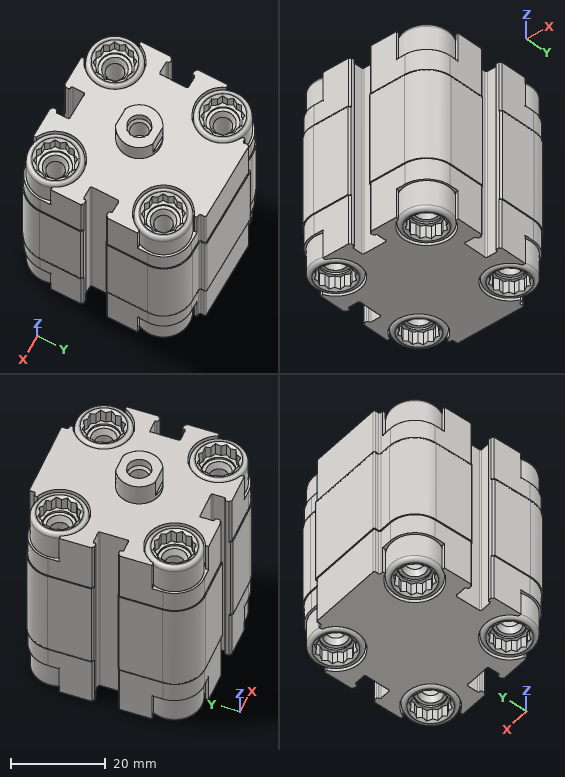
import cadquery as cq
import math

total_height = 55.0
rod_projection = 5.5
cap_height = 13.0
barrel_width = 40.0
barrel_depth = 41.5
cap_inset = 0.25

screw_spacing = 26.0
rail_half_width = 9.8
rail_fillet = 0.4

slot_mouth_width = 5.4
slot_inner_width = 6.9
slot_depth = 5.0
slot_lip = 1.75
slot_fillet = 0.35
lip_round = 0.45

boss_diameter = 12.5
boss_height = 7.5
boss_fillet = 1.0
boss_gap = 0.3
recess_wall_offset = 10.5

socket_mouth_diameter = 10.0
socket_across_flats = 8.0
hexagon_sides = 6
lead_in_angle = 30.0
socket_depth = 3.5
well_diameter = 7.2
well_depth = 4.0
hole_mouth_diameter = 5.6
hole_cone_depth = 1.5
core_diameter = 4.1

rod_diameter = 10.0
rod_flat_spacing = 9.0
rod_flat_height = 4.3
rod_bore_diameter = 5.3
rod_bore_depth = 2.0
rod_drill_depth = 9.0
drill_point_angle = 118.0

body_height = total_height - rod_projection
barrel_height = body_height - 2 * cap_height
half_width = barrel_width / 2
rail_face = barrel_depth - half_width
screw_offset = screw_spacing / 2
corner_radius = half_width - screw_offset
half_hexagon_turn = 180 / hexagon_sides
socket_circle = socket_across_flats / math.cos(math.pi / hexagon_sides)
lead_in_width = (socket_mouth_diameter - socket_across_flats) / 2
lead_in_depth = lead_in_width * math.tan(math.radians(lead_in_angle))
rod_cone_depth = (rod_bore_diameter - core_diameter) / 2
drill_point = core_diameter / 2 / math.tan(math.radians(drill_point_angle / 2))
rod_seat_depth = cap_height
rod_length = rod_projection + rod_seat_depth


def profile_slab(inset, bottom, height):
    """Rounded square with a rail on its back face, set in evenly all round."""
    half = half_width - inset
    square = (
        cq.Workplane("XY", origin=(0, 0, bottom))
        .rect(2 * half, 2 * half)
        .extrude(height)
        .edges("|Z")
        .fillet(corner_radius - inset)
    )
    rail_half = rail_half_width - inset
    rail_top = rail_face - inset
    rail = (
        cq.Workplane("XY", origin=(0, 0, bottom))
        .moveTo(-rail_half - rail_fillet, half)
        .radiusArc((-rail_half, half + rail_fillet), -rail_fillet)
        .lineTo(-rail_half, rail_top - rail_fillet)
        .radiusArc((-rail_half + rail_fillet, rail_top), rail_fillet)
        .lineTo(rail_half - rail_fillet, rail_top)
        .radiusArc((rail_half, rail_top - rail_fillet), rail_fillet)
        .lineTo(rail_half, half + rail_fillet)
        .radiusArc((rail_half + rail_fillet, half), -rail_fillet)
        .lineTo(rail_half + rail_fillet, 0)
        .lineTo(-rail_half - rail_fillet, 0)
        .close()
        .extrude(height)
    )
    slab = square.union(rail)
    for slot in sensor_slots(half, bottom, height):
        slab = slab.cut(slot)
    return slab


def sensor_slots(face, bottom, height):
    """T-slots in the -X, -Y and +X faces, with rounded lips ending at the given face."""
    mouth_half = slot_mouth_width / 2
    inner_half = slot_inner_width / 2
    floor = half_width - slot_depth
    lip_inside = half_width - slot_lip
    slot = (
        cq.Workplane("XY", origin=(0, 0, bottom))
        .moveTo(face, mouth_half + lip_round)
        .radiusArc((face - lip_round, mouth_half), -lip_round)
        .lineTo(lip_inside, mouth_half)
        .lineTo(lip_inside, inner_half)
        .lineTo(floor, inner_half)
        .lineTo(floor, -inner_half)
        .lineTo(lip_inside, -inner_half)
        .lineTo(lip_inside, -mouth_half)
        .lineTo(face - lip_round, -mouth_half)
        .radiusArc((face, -mouth_half - lip_round), -lip_round)
        .close()
        .extrude(height)
        .edges("|Z")
        .filter(lambda edge: edge.Center().x < face - 2 * lip_round)
        .fillet(slot_fillet)
    )
    return [slot.rotate((0, 0, 0), (0, 0, 1), angle) for angle in (0, 180, 270)]


def corner_recess(x_side, y_side):
    """Space cut into the top of one cap corner, around the screw boss."""
    x = x_side * screw_offset
    y = y_side * screw_offset
    bottom = body_height - boss_height
    round_part = (
        cq.Workplane("XY", origin=(x, y, bottom))
        .circle(boss_diameter / 2 + boss_gap)
        .extrude(boss_height)
    )
    block_side = half_width - recess_wall_offset
    block_centre = recess_wall_offset + block_side / 2
    block = (
        cq.Workplane("XY", origin=(x_side * block_centre, y_side * block_centre, bottom))
        .rect(block_side, block_side)
        .extrude(boss_height)
    )
    return round_part.union(block)


def screw_boss(x, y):
    """Round boss with a rounded top rim."""
    return (
        cq.Workplane("XY", origin=(x, y, body_height - boss_height))
        .circle(boss_diameter / 2)
        .extrude(boss_height)
        .faces(">Z")
        .edges()
        .fillet(boss_fillet)
    )


def screw_socket(x, y):
    """Twelve-point socket with a conical lead-in, a round well and the hole below it."""
    bore = (
        cq.Workplane("XZ")
        .moveTo(0, 0)
        .lineTo(socket_mouth_diameter / 2, 0)
        .lineTo(socket_across_flats / 2, -lead_in_depth)
        .lineTo(well_diameter / 2, -lead_in_depth)
        .lineTo(well_diameter / 2, -well_depth)
        .lineTo(hole_mouth_diameter / 2, -well_depth)
        .lineTo(core_diameter / 2, -well_depth - hole_cone_depth)
        .lineTo(core_diameter / 2, -body_height / 2)
        .lineTo(0, -body_height / 2)
        .close()
        .revolve(360, (0, 0, 0), (0, 1, 0))
    )
    hexagon = cq.Workplane("XY").polygon(hexagon_sides, socket_circle).extrude(-socket_depth)
    turned_hexagon = hexagon.rotate((0, 0, 0), (0, 0, 1), half_hexagon_turn)
    return bore.union(hexagon).union(turned_hexagon).translate((x, y, body_height))


def make_housing():
    """Barrel between two mirrored caps, with the rod seat in the top cap."""
    body = profile_slab(cap_inset, 0, body_height)
    body = body.union(profile_slab(0, cap_height, barrel_height))
    middle = (0, 0, body_height / 2)
    for x_side in (-1, 1):
        for y_side in (-1, 1):
            x = x_side * screw_offset
            y = y_side * screw_offset
            recess = corner_recess(x_side, y_side)
            boss = screw_boss(x, y)
            socket = screw_socket(x, y)
            body = body.cut(recess).cut(recess.mirror("XY", middle))
            body = body.union(boss).union(boss.mirror("XY", middle))
            body = body.cut(socket).cut(socket.mirror("XY", middle))
    rod_seat = (
        cq.Workplane("XY", origin=(0, 0, body_height))
        .circle(rod_diameter / 2)
        .extrude(-rod_seat_depth)
    )
    return body.cut(rod_seat)


def make_rod():
    """Piston rod with two wrench flats and a stepped, drill-pointed hole in its end."""
    rod = (
        cq.Workplane("XY", origin=(0, 0, total_height))
        .circle(rod_diameter / 2)
        .extrude(-rod_length)
    )
    flats = (
        cq.Workplane("XY", origin=(0, 0, total_height))
        .rect(2 * rod_diameter, 2 * rod_diameter)
        .rect(2 * rod_diameter, rod_flat_spacing)
        .extrude(-rod_flat_height)
    )
    hole = (
        cq.Workplane("XZ")
        .moveTo(0, total_height)
        .lineTo(rod_bore_diameter / 2, total_height)
        .lineTo(rod_bore_diameter / 2, total_height - rod_bore_depth)
        .lineTo(core_diameter / 2, total_height - rod_bore_depth - rod_cone_depth)
        .lineTo(core_diameter / 2, total_height - rod_drill_depth)
        .lineTo(0, total_height - rod_drill_depth - drill_point)
        .close()
        .revolve(360, (0, total_height, 0), (0, 0, 0))
    )
    return rod.cut(flats).cut(hole)


housing = make_housing()
rod = make_rod()
result = cq.Compound.makeCompound([housing.val(), rod.val()])